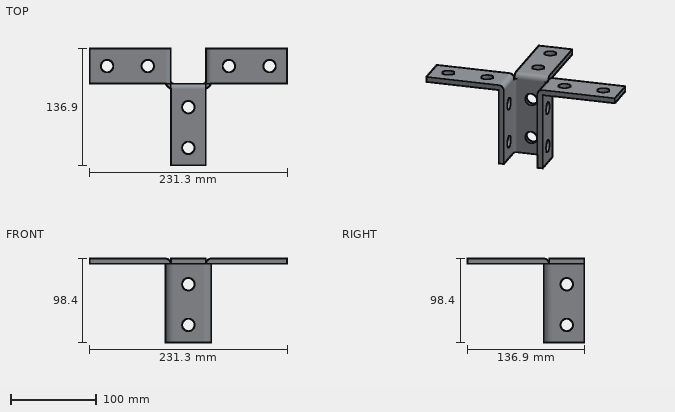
import cadquery as cq
import math

strip_width = 41.15
thickness = 6.35
overall_x = 231.31
overall_y = 136.86
overall_z = 98.42
hole_diameter = 14.29
hole_spacing = 47.63
corner_outer_radius = 9.525

inner_half = strip_width / 2
outer_half = inner_half + thickness
side_arm_length = overall_x / 2 - inner_half
front_arm_length = overall_y - strip_width
corner_inner_radius = corner_outer_radius - thickness
wall_height = overall_z - thickness
hole_edge_distance = strip_width / 2
hole_offsets = (hole_edge_distance, hole_edge_distance + hole_spacing)


def u_block(half_width, front_y, corner_radius):
    """Wall-high block from front_y to the walls' rear edge, with rounded front corners."""
    depth = strip_width - front_y
    return (
        cq.Workplane("XY", origin=(0, front_y + depth / 2, -overall_z))
        .rect(2 * half_width, depth)
        .extrude(wall_height)
        .edges("|Z and <Y")
        .fillet(corner_radius)
    )


def make_channel():
    """Upright U channel: two side walls joined by a front wall, open at the rear."""
    outside = u_block(outer_half, -thickness, corner_outer_radius)
    inside = u_block(inner_half, 0, corner_inner_radius)
    return outside.cut(inside)


def make_arm(length):
    """Arm along +X, centred on Y = 0, rounded over the full thickness where it starts."""
    arc_inset = thickness * (1 - math.cos(math.pi / 4))
    arm = (
        cq.Workplane("XZ", origin=(0, strip_width / 2, 0))
        .moveTo(0, -thickness)
        .threePointArc(
            (arc_inset, -arc_inset),
            (thickness, 0),
        )
        .lineTo(length, 0)
        .lineTo(length, -thickness)
        .close()
        .extrude(strip_width)
    )
    hole_points = [(length - offset, 0) for offset in hole_offsets]
    holes = (
        cq.Workplane("XY", origin=(0, 0, -thickness))
        .pushPoints(hole_points)
        .circle(hole_diameter / 2)
        .extrude(thickness)
    )
    return arm.cut(holes)


def place_arm(arm, angle, x, y):
    """Turn an arm about Z and move its start to (x, y)."""
    return arm.rotate((0, 0, 0), (0, 0, 1), angle).translate((x, y, 0))


def wall_holes():
    """Hole pairs through the front wall and through both side walls."""
    heights = [offset - overall_z for offset in hole_offsets]
    front = (
        cq.Workplane("XZ")
        .pushPoints([(0, z) for z in heights])
        .circle(hole_diameter / 2)
        .extrude(thickness)
    )
    side = (
        cq.Workplane("YZ")
        .pushPoints([(strip_width - hole_edge_distance, z) for z in heights])
        .circle(hole_diameter / 2)
        .extrude(outer_half, both=True)
    )
    return front.union(side)


side_arm = make_arm(side_arm_length)
front_arm = make_arm(front_arm_length)

result = make_channel().cut(wall_holes())
result = result.union(place_arm(side_arm, 0, inner_half, strip_width / 2))
result = result.union(place_arm(side_arm, 180, -inner_half, strip_width / 2))
result = result.union(place_arm(front_arm, -90, 0, 0))